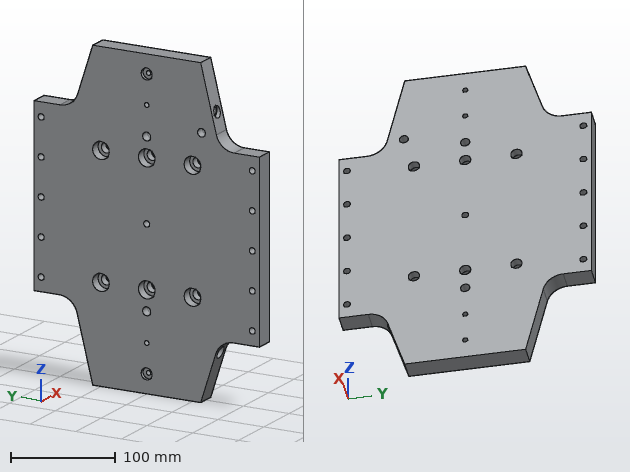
import cadquery as cq
import math

thickness = 20.0
width = 246.0
height = 340.0

end_width = 118.0
ear_root_y = 80.0
ear_near_z = 85.0
ear_far_z = 105.0
root_radius = 20.0

ear_hole_diameter = 6.5
ear_hole_count = 5
ear_hole_span = 160.0
ear_hole_y = 115.3
ear_hole_stagger = 10.0

bolt_diameter = 11.0
bolt_head_diameter = 18.0
bolt_head_depth = 11.0
bolt_row_z = 66.0
bolt_pitch_y = 50.0

pivot_diameter = 6.5
dowel_diameter = 9.0
dowel_z = 87.5
pin_diameter = 4.8
pin_z = 119.0
corner_hole_diameter = 8.5
corner_hole_y = -60.0
corner_hole_z = 100.0

end_hole_diameter = 4.8
end_head_diameter = 12.0
end_head_depth = 3.7
end_hole_z = 150.0

port_z = 120.0
port_mouth_diameter = 12.0
port_bore_diameter = 8.5
port_mouth_floor_y = -68.0
port_bore_depth = 20.0
port_tip_half_angle = 59


def make_plate():
    """Extruded outline with rounded roots between the ears and the tapered ends."""
    half_width = width / 2
    half_height = height / 2
    half_end = end_width / 2
    half_outline = [
        (half_end, half_height),
        (ear_root_y, ear_far_z),
        (half_width, ear_far_z),
        (half_width, -ear_near_z),
        (ear_root_y, -ear_near_z),
        (half_end, -half_height),
    ]
    opposite_half = [(-y, -z) for y, z in half_outline]
    plate = (
        cq.Workplane("YZ")
        .polyline(half_outline + opposite_half)
        .close()
        .extrude(thickness / 2, both=True)
    )
    root_edges = plate.edges("|X").filter(lambda edge: math.isclose(abs(edge.Center().y), ear_root_y))
    return root_edges.fillet(root_radius)


def through_holes(points, diameter):
    """Round cutters right through the thickness at the given (y, z) points."""
    return cq.Workplane("YZ").pushPoints(points).circle(diameter / 2).extrude(thickness, both=True)


def counterbores(points, diameter, depth):
    """Round cutters sunk to the given depth from the -X face."""
    return (
        cq.Workplane("YZ", origin=(-thickness / 2, 0, 0))
        .pushPoints(points)
        .circle(diameter / 2)
        .extrude(depth)
    )


def ear_hole_points():
    """One column per ear, shifted up on +Y and down on -Y."""
    pitch = ear_hole_span / (ear_hole_count - 1)
    points = []
    for side in (1, -1):
        for index in range(ear_hole_count):
            z = index * pitch - ear_hole_span / 2 + side * ear_hole_stagger
            points.append((side * ear_hole_y, z))
    return points


def port_cutter(z):
    """Revolved profile of one port: wide mouth, narrower bore and conical drill tip."""
    mouth_radius = port_mouth_diameter / 2
    bore_radius = port_bore_diameter / 2
    tip_depth = bore_radius / math.tan(math.radians(port_tip_half_angle))
    bore_end_y = port_mouth_floor_y + port_bore_depth
    return (
        cq.Workplane("XY", origin=(0, 0, z))
        .moveTo(0, -width / 2)
        .lineTo(mouth_radius, -width / 2)
        .lineTo(mouth_radius, port_mouth_floor_y)
        .lineTo(bore_radius, port_mouth_floor_y)
        .lineTo(bore_radius, bore_end_y)
        .lineTo(0, bore_end_y + tip_depth)
        .close()
        .revolve(360, (0, 0, 0), (0, 1, 0))
    )


def mirrored_pair(z):
    """Points on the Z axis at equal heights above and below the centre."""
    return [(0, z), (0, -z)]


bolt_points = [(column * bolt_pitch_y, row * bolt_row_z) for column in (-1, 0, 1) for row in (-1, 1)]
end_points = mirrored_pair(end_hole_z)

result = (
    make_plate()
    .cut(through_holes(ear_hole_points(), ear_hole_diameter))
    .cut(through_holes(bolt_points, bolt_diameter))
    .cut(counterbores(bolt_points, bolt_head_diameter, bolt_head_depth))
    .cut(through_holes([(0, 0)], pivot_diameter))
    .cut(through_holes(mirrored_pair(dowel_z), dowel_diameter))
    .cut(through_holes(mirrored_pair(pin_z), pin_diameter))
    .cut(through_holes([(corner_hole_y, corner_hole_z)], corner_hole_diameter))
    .cut(through_holes(end_points, end_hole_diameter))
    .cut(counterbores(end_points, end_head_diameter, end_head_depth))
    .cut(port_cutter(port_z))
    .cut(port_cutter(-port_z))
)